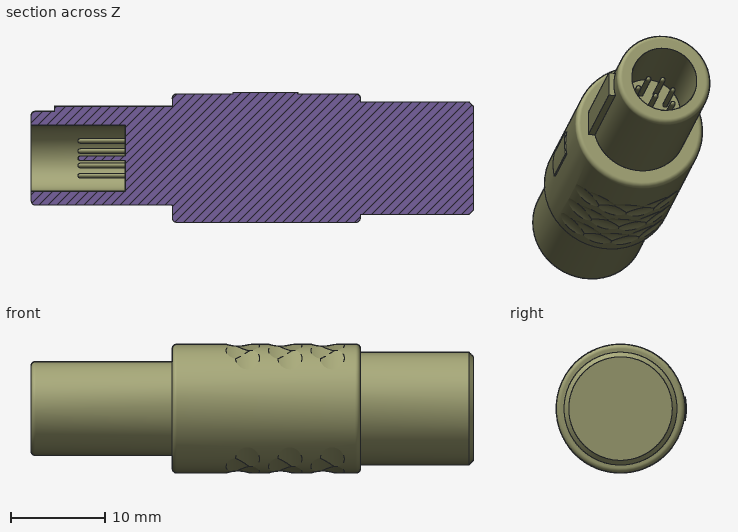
import cadquery as cq
import math

TOTAL_LENGTH = 47.0
SLEEVE_START = 15.0
SLEEVE_LENGTH = 20.0
SLEEVE_END = SLEEVE_START + SLEEVE_LENGTH

PLUG_RADIUS = 5.0
SLEEVE_RADIUS = 6.85
REAR_RADIUS = 6.0
EDGE_FILLET = 0.5
REAR_CHAMFER = 0.5

BORE_RADIUS = 3.5
BORE_DEPTH = 10.0
PIN_RADIUS = 0.25
PIN_LENGTH = 5.0
PIN_CIRCLE_RADIUS = 2.0
RING_PIN_COUNT = 8

KEY_START = 2.5
KEY_WIDTH = 2.5
KEY_TOP = 5.55

PAD_START = 21.45
PAD_LENGTH = 6.9
PAD_WIDTH = 2.5
PAD_TOP = 7.0

SCALLOP_DEPTH = 0.21
SCALLOP_RADIUS = 4.0
SCALLOP_PITCH_ANGLE = 360.0 / 14
BAND_COUNT = 3
BAND_PITCH = 4.5
FIRST_BAND_X = 22.0
STAGGER_X = 1.0
LONG_ROW_COUNT = 4
SHORT_ROW_COUNT = 3
TOP_ANGLE = 90.0
BOTTOM_ANGLE = 270.0


def x_cylinder(start, length, radius):
    """Cylinder on the X axis."""
    return cq.Workplane("YZ", origin=(start, 0, 0)).circle(radius).extrude(length)


def make_body():
    """Plug, sleeve and rear barrel with rounded front and sleeve edges and a chamfered rear end."""
    plug = x_cylinder(0, SLEEVE_START, PLUG_RADIUS).faces("<X").edges().fillet(EDGE_FILLET)
    sleeve = x_cylinder(SLEEVE_START, SLEEVE_LENGTH, SLEEVE_RADIUS).edges("%CIRCLE").fillet(EDGE_FILLET)
    rear_length = TOTAL_LENGTH - SLEEVE_END
    rear = x_cylinder(SLEEVE_END, rear_length, REAR_RADIUS).faces(">X").edges().chamfer(REAR_CHAMFER)
    return plug.union(sleeve).union(rear)


def make_key():
    """Straight key from near the plug tip to the sleeve face, rooted inside the plug wall."""
    root = (BORE_RADIUS + PLUG_RADIUS) / 2
    length = SLEEVE_START - KEY_START
    key = cq.Workplane("XY").box(length, KEY_TOP - root, KEY_WIDTH, centered=(False, False, True))
    return key.translate((KEY_START, root, 0))


def make_pad():
    """Thin raised pad whose outer face is concentric with the sleeve."""
    blank = cq.Workplane("XY").box(PAD_LENGTH, PAD_TOP, PAD_WIDTH, centered=(False, False, True))
    skin = x_cylinder(PAD_START, PAD_LENGTH, PAD_TOP)
    core = x_cylinder(PAD_START, PAD_LENGTH, REAR_RADIUS)
    return blank.translate((PAD_START, 0, 0)).intersect(skin).cut(core)


def make_pin(y, z):
    """Contact pin standing on the bore floor, with a hemispherical tip."""
    tip_centre = BORE_DEPTH - PIN_LENGTH + PIN_RADIUS
    shank = x_cylinder(tip_centre, PIN_LENGTH - PIN_RADIUS, PIN_RADIUS)
    tip = cq.Workplane("XY", origin=(tip_centre, 0, 0)).sphere(PIN_RADIUS)
    return shank.union(tip).translate((0, y, z))


def make_pins():
    """One central contact pin surrounded by an even ring of pins."""
    pins = make_pin(0, 0)
    for index in range(RING_PIN_COUNT):
        angle = math.radians((index + 0.5) * 360.0 / RING_PIN_COUNT)
        pins = pins.union(make_pin(PIN_CIRCLE_RADIUS * math.cos(angle), PIN_CIRCLE_RADIUS * math.sin(angle)))
    return pins


def make_scallop(x, angle):
    """Cutting cylinder tangent to the sleeve's round direction; angle is about X from +Y."""
    axis_height = SLEEVE_RADIUS - SCALLOP_DEPTH + SCALLOP_RADIUS
    cutter = cq.Workplane("XZ").center(x, axis_height).circle(SCALLOP_RADIUS).extrude(SLEEVE_RADIUS, both=True)
    return cutter.rotate((0, 0, 0), (1, 0, 0), angle - TOP_ANGLE)


def cut_scallop_row(body, x, middle_angle, count):
    """Cut a row of evenly spaced scallops centred on one angle."""
    for index in range(count):
        offset = (index - (count - 1) / 2) * SCALLOP_PITCH_ANGLE
        body = body.cut(make_scallop(x, middle_angle + offset))
    return body


def cut_grip(body):
    """Cut the staggered scallop rows of every band, above and below."""
    for middle_angle in (TOP_ANGLE, BOTTOM_ANGLE):
        for band in range(BAND_COUNT):
            x = FIRST_BAND_X + band * BAND_PITCH
            body = cut_scallop_row(body, x, middle_angle, SHORT_ROW_COUNT)
            body = cut_scallop_row(body, x + STAGGER_X, middle_angle, LONG_ROW_COUNT)
    return body


body = cut_grip(make_body())
body = body.union(make_key()).union(make_pad())
body = body.cut(x_cylinder(0, BORE_DEPTH, BORE_RADIUS))
result = body.union(make_pins())